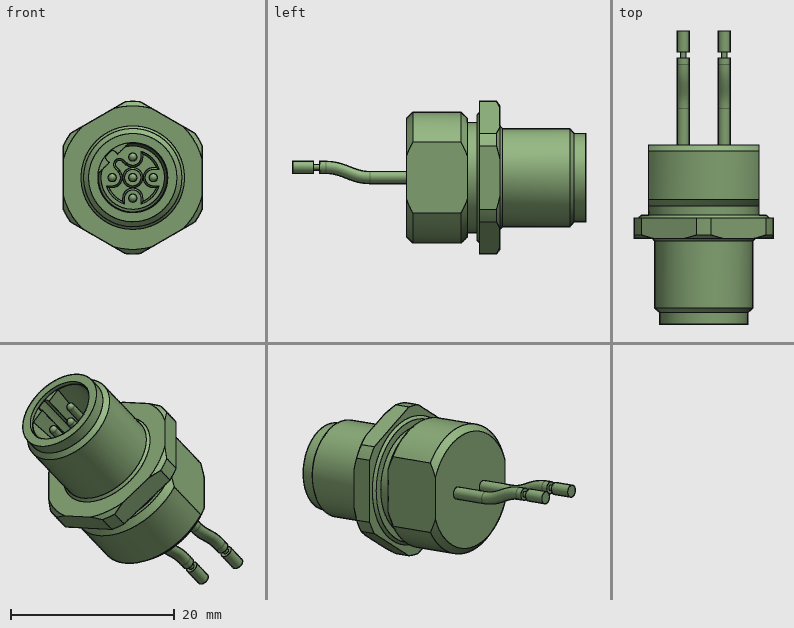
import cadquery as cq
import math


nose_end = 1.45
thread_chamfer_end = 1.97
thread_base_start = 10.18
flange_front = 10.5
flange_back = 13.0
collar_back = 13.35
nut_front = 14.5
nut_back = 21.95

nose_dia = 10.8
thread_dia = 12.0
thread_base_dia = 12.65
collar_front_dia = 16.0
collar_back_dia = 15.27
neck_dia = 13.5

flange_across_flats = 17.0
hexagon_turn = 30
flange_corner_dia = 18.68
flange_chamfer_radial = 0.57
flange_chamfer_axial = 0.43

nut_dia = 16.05
nut_across_flats = neck_dia
nut_chamfer = 0.8

mouth_dia = 8.57
insert_front = 0.5
socket_front_dia = 8.4
socket_floor_dia = 7.75
socket_floor = 8.95

key_angle = 135
key_flat_distance = 3.35
key_notch_dia = 1.5
key_notch_distance = 3.65

pin_dia = 1.0
pin_tip = 2.0
pin_pitch = 2.5
outer_pins = [(pin_pitch, 0), (0, pin_pitch), (-pin_pitch, 0), (0, -pin_pitch)]
pin_positions = [(0, 0)] + outer_pins

boss_dia = 2.0
recess_dia = 6.75
recess_depth = 0.5
recess_draft = 24
lobe_distance = 2.3
lobe_width = 1.45

wire_dia = 1.5
wire_neck_dia = 0.7
wire_offset = pin_pitch
wire_rise = 1.25
bend_start = 26.4
bend_end = 31.75
sleeve_end = 32.55
tip_start = 33.27
wire_end = 35.85


def plane_at(y):
    """Sketch plane across the axis, with sketch x = X and sketch y = Z."""
    return cq.Workplane("XZ", origin=(0, y, 0))


def rod(dia, y_start, y_end, x=0, z=0):
    """Cylinder parallel to the axis."""
    return plane_at(y_start).center(x, z).circle(dia / 2).extrude(y_start - y_end)


def turned(points):
    """Solid of revolution about Y from (radius, y) outline points."""
    return cq.Workplane("XY").polyline(points).close().revolve(360, (0, 0, 0), (0, 1, 0))


def turned_body():
    return turned([
        (0, 0),
        (nose_dia / 2, 0),
        (nose_dia / 2, nose_end),
        (thread_dia / 2, thread_chamfer_end),
        (thread_dia / 2, thread_base_start),
        (thread_base_dia / 2, flange_front),
        (thread_base_dia / 2, flange_back),
        (collar_front_dia / 2, flange_back),
        (collar_back_dia / 2, collar_back),
        (neck_dia / 2, collar_back),
        (neck_dia / 2, nut_front),
        (0, nut_front),
    ])


def flange():
    hexagon_dia = flange_across_flats / math.cos(math.radians(hexagon_turn))
    hexagon = (
        plane_at(flange_front)
        .transformed(rotate=(0, 0, hexagon_turn))
        .polygon(6, hexagon_dia)
        .extrude(flange_front - flange_back)
    )
    corner_radius = flange_corner_dia / 2
    envelope = turned([
        (0, flange_front),
        (corner_radius - flange_chamfer_radial, flange_front),
        (corner_radius, flange_front + flange_chamfer_axial),
        (corner_radius, flange_back),
        (0, flange_back),
    ])
    return hexagon.intersect(envelope)


def nut():
    length = nut_back - nut_front
    blank = rod(nut_dia, nut_front, nut_back).edges().chamfer(nut_chamfer)
    flats = plane_at(nut_front).rect(nut_across_flats, 2 * nut_dia).extrude(-length)
    return blank.intersect(flats)


def key_segment():
    """Material left standing behind a flat at the side of the bore."""
    return (
        plane_at(insert_front)
        .transformed(rotate=(0, 0, key_angle))
        .center(key_flat_distance + socket_front_dia / 2, 0)
        .rect(socket_front_dia, 2 * socket_front_dia)
        .extrude(insert_front - socket_floor)
    )


def key_notch():
    """Round groove along the whole key, bounded by the socket diameter."""
    angle = math.radians(key_angle)
    groove = rod(
        key_notch_dia,
        insert_front,
        socket_floor,
        key_notch_distance * math.cos(angle),
        key_notch_distance * math.sin(angle),
    )
    return groove.intersect(rod(socket_front_dia, insert_front, socket_floor))


def socket():
    """Space removed for the mouth and the drafted bore, leaving the key standing."""
    bore = turned([
        (0, insert_front),
        (socket_front_dia / 2, insert_front),
        (socket_floor_dia / 2, socket_floor),
        (0, socket_floor),
    ])
    return bore.cut(key_segment()).union(key_notch()).union(rod(mouth_dia, 0, insert_front))


def floor_recess():
    """Drafted recess between the pin bosses, with a narrow lobe pointing at the key."""
    square_centre = pin_pitch / 2
    sector_size = (recess_dia - boss_dia) / 2
    sector_centre = (recess_dia + boss_dia) / 4
    mouth = cq.Sketch()
    for x_side, z_side in [(1, 1), (1, -1), (-1, -1)]:
        mouth.push([(x_side * square_centre, z_side * square_centre)])
        mouth.rect(pin_pitch, pin_pitch).reset()
        mouth.push([(x_side * sector_centre, z_side * sector_centre)])
        mouth.rect(sector_size, sector_size).reset()
    mouth.circle(recess_dia / 2, mode="i")

    angle = math.radians(key_angle)
    lobe_end = (lobe_distance * math.cos(angle), lobe_distance * math.sin(angle))
    lobe_middle = (lobe_end[0] / 2, lobe_end[1] / 2)
    mouth.polygon([(0, 0), (0, pin_pitch), (-pin_pitch, 0), (0, 0)])
    mouth.push([lobe_middle]).rect(lobe_distance, lobe_width, angle=key_angle).reset()
    mouth.push([lobe_end]).circle(lobe_width / 2).reset()

    mouth.push(outer_pins).circle(boss_dia / 2, mode="s").reset().clean()
    recess = plane_at(socket_floor).placeSketch(mouth).extrude(-recess_depth, taper=recess_draft)
    centre_boss = plane_at(socket_floor).circle(boss_dia / 2).extrude(-recess_depth, taper=-recess_draft)
    return recess.cut(centre_boss)


def pin(x, z):
    """Pin with a hemispherical tip, rooted in the solid behind the recess."""
    radius = pin_dia / 2
    tip_centre = pin_tip + radius
    shank = rod(pin_dia, tip_centre, socket_floor + recess_depth, x, z)
    return shank.union(cq.Workplane("XY", origin=(x, tip_centre, z)).sphere(radius))


def wire(x):
    straight = rod(wire_dia, nut_back, bend_start, x)
    path = cq.Workplane("YZ", origin=(x, 0, 0)).spline(
        [(bend_start, 0), (bend_end, wire_rise)], tangents=[(1, 0), (1, 0)]
    )
    bend = plane_at(bend_start).center(x, 0).circle(wire_dia / 2).sweep(path)
    sleeve = rod(wire_dia, bend_end, sleeve_end, x, wire_rise)
    neck = rod(wire_neck_dia, sleeve_end, tip_start, x, wire_rise)
    tip = rod(wire_dia, tip_start, wire_end, x, wire_rise)
    return straight.union(bend).union(sleeve).union(neck).union(tip)


result = turned_body().union(flange()).union(nut())
result = result.cut(socket()).cut(floor_recess())
for pin_x, pin_z in pin_positions:
    result = result.union(pin(pin_x, pin_z))
for wire_x in (-wire_offset, wire_offset):
    result = result.union(wire(wire_x))